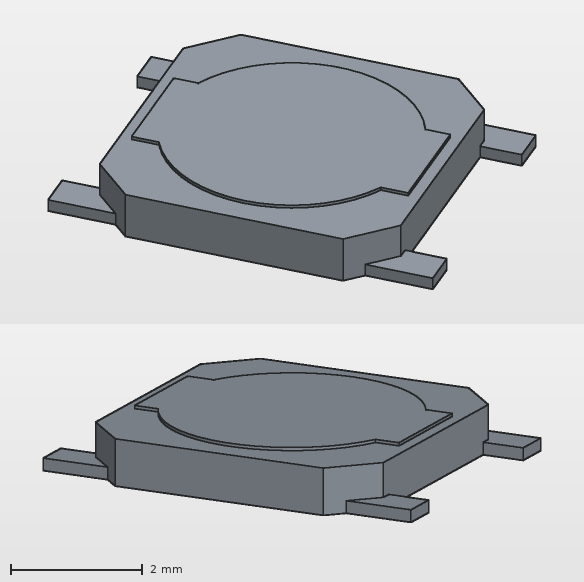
import cadquery as cq

body_side = 4.9
body_height = 0.75
corner_cut = 0.68

terminal_span = 6.26
terminal_width = 0.6
terminal_thickness = 0.2
terminal_offset_y = 1.89

total_height = 0.8
cover_thickness = total_height - body_height
cover_radius = 2.035
tab_span = 4.5
tab_width = 1.79
tab_offset_y = -0.045


def flat_box(length, width, height):
    """Box centred on X and Y with its bottom at Z = 0."""
    return cq.Workplane("XY").box(length, width, height, centered=(True, True, False))


def make_body():
    return flat_box(body_side, body_side, body_height).edges("|Z").chamfer(corner_cut)


def make_terminal_pair(center_y):
    """One strip through the housing, forming two opposite terminals."""
    strip = flat_box(terminal_span, terminal_width, terminal_thickness)
    return strip.translate((0, center_y, 0))


def make_cover():
    disc = cq.Workplane("XY").circle(cover_radius).extrude(cover_thickness)
    tabs = flat_box(tab_span, tab_width, cover_thickness).translate((0, tab_offset_y, 0))
    return disc.union(tabs).translate((0, 0, body_height))


result = make_body().union(make_cover())
for side in (-1, 1):
    result = result.union(make_terminal_pair(side * terminal_offset_y))